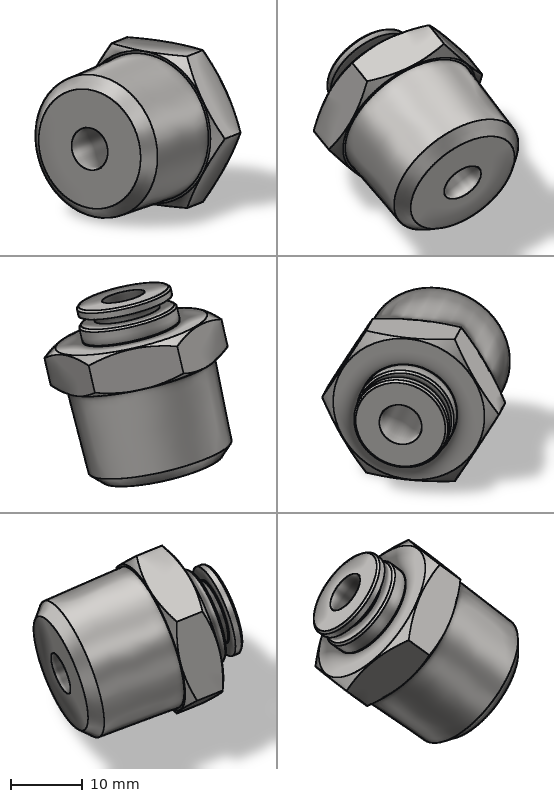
import cadquery as cq
import math

total_length = 25.2
hex_corner_diameter = 25.4
hex_corner_radius = hex_corner_diameter / 2
bore_diameter = 6.1

body_length = 14.0
body_root_radius = 10.62
body_tip_radius = 10.29
tip_chamfer_length = 1.68
tip_face_radius = 8.59

hex_length = 6.05
hex_front_face_radius = 10.97
hex_back_face_radius = 10.87
hex_chamfer_angle = 30.0

collar_radius = 14.0 / 2
collar_end = total_length - 2.7
collar_chamfer = 0.3
collar_relief_length = 0.15
collar_relief_depth = 0.08
collar_lip_radius = 5.45
collar_lip_height = 0.18

neck_radius = 9.4 / 2
ring_radius = 13.5 / 2
ring_thickness = 1.25
ring_chamfer = 0.3
neck_shoulder_length = 0.18
neck_shoulder_step = 0.1

hex_start = body_length
hex_end = hex_start + hex_length
ring_start = total_length - ring_thickness
overlap = 0.25


def revolve_profile(points):
    """Revolve (radius, axial position) points about the Y axis."""
    return cq.Workplane("XY").polyline(points).close().revolve(360, (0, 0, 0), (0, 1, 0))


def make_body():
    return revolve_profile([
        (0, 0),
        (tip_face_radius, 0),
        (body_tip_radius, tip_chamfer_length),
        (body_root_radius, hex_start),
        (body_root_radius, hex_start + overlap),
        (0, hex_start + overlap),
    ])


def make_hexagon():
    """Hexagonal prism with both ends turned to a shallow cone at the corners."""
    prism = (
        cq.Workplane("XZ", origin=(0, hex_start, 0))
        .polygon(6, hex_corner_diameter)
        .extrude(-hex_length)
    )
    slope = math.tan(math.radians(hex_chamfer_angle))
    front_chamfer = (hex_corner_radius - hex_front_face_radius) * slope
    back_chamfer = (hex_corner_radius - hex_back_face_radius) * slope
    turned_envelope = revolve_profile([
        (0, hex_start),
        (hex_front_face_radius, hex_start),
        (hex_corner_radius, hex_start + front_chamfer),
        (hex_corner_radius, hex_end - back_chamfer),
        (hex_back_face_radius, hex_end),
        (0, hex_end),
    ])
    return prism.intersect(turned_envelope)


def make_collar_and_ring():
    relief_radius = collar_radius - collar_relief_depth
    shoulder_radius = neck_radius + neck_shoulder_step
    return revolve_profile([
        (0, hex_end - overlap),
        (relief_radius, hex_end - overlap),
        (relief_radius, hex_end + collar_relief_length),
        (collar_radius, hex_end + collar_relief_length),
        (collar_radius, collar_end - collar_chamfer),
        (collar_radius - collar_chamfer, collar_end),
        (collar_lip_radius, collar_end),
        (neck_radius, collar_end + collar_lip_height),
        (neck_radius, ring_start - neck_shoulder_length),
        (shoulder_radius, ring_start),
        (ring_radius, ring_start),
        (ring_radius, total_length - ring_chamfer),
        (ring_radius - ring_chamfer, total_length),
        (0, total_length),
    ])


bore = cq.Workplane("XZ").circle(bore_diameter / 2).extrude(-total_length)

fitting = make_body().union(make_hexagon()).union(make_collar_and_ring()).cut(bore)

result = fitting.translate((0, -total_length / 2, 0))